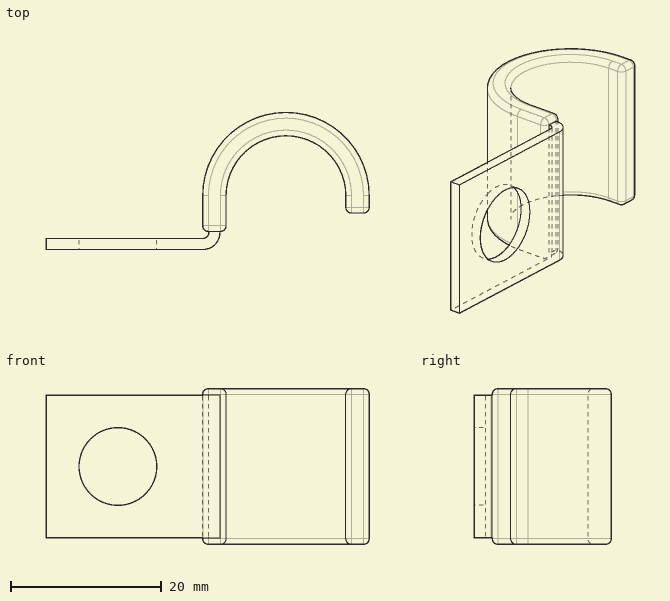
import cadquery as cq

overall_length = 42.8
overall_depth = 18.2
cushion_height = 20.65
cushion_radius = 11.05
cushion_thickness = 3.12
cushion_fillet = 0.75
long_leg = 4.75
short_leg = 2.3
strap_thickness = 1.5
strap_height = 18.9
bend_inner_radius = 0.75
hole_diameter = 10.27
hole_end_distance = 9.5

inner_radius = cushion_radius - cushion_thickness
strap_end_x = cushion_radius - overall_length
strap_front_y = cushion_radius - overall_depth
strap_back_y = strap_front_y + strap_thickness
bend_outer_radius = bend_inner_radius + strap_thickness
strap_outer_x = -cushion_radius + (cushion_thickness - strap_thickness) / 2
strap_inner_x = strap_outer_x + strap_thickness
bend_center_x = strap_outer_x - bend_inner_radius
bend_center_y = strap_back_y + bend_inner_radius
strap_embed_y = -long_leg + cushion_thickness / 2


def make_cushion():
    """Half-round cushion with two straight legs and rounded borders."""
    body = (
        cq.Workplane("XY")
        .workplane(offset=-cushion_height / 2)
        .moveTo(-cushion_radius, -long_leg)
        .lineTo(-cushion_radius, 0)
        .threePointArc((0, cushion_radius), (cushion_radius, 0))
        .lineTo(cushion_radius, -short_leg)
        .lineTo(inner_radius, -short_leg)
        .lineTo(inner_radius, 0)
        .threePointArc((0, inner_radius), (-inner_radius, 0))
        .lineTo(-inner_radius, -long_leg)
        .close()
        .extrude(cushion_height)
    )
    upright_edges = body.edges("|Z").vals()
    tip_edges = [edge for edge in upright_edges if edge.Center().y < -short_leg / 2]
    rim_edges = body.faces("<Z or >Z").edges().vals()
    return body.newObject(tip_edges + rim_edges).fillet(cushion_fillet)


def make_strap():
    """Flat mounting tab bent up into the long leg of the cushion."""
    return (
        cq.Workplane("XY")
        .workplane(offset=-strap_height / 2)
        .moveTo(strap_end_x, strap_front_y)
        .lineTo(bend_center_x, strap_front_y)
        .radiusArc((strap_inner_x, bend_center_y), -bend_outer_radius)
        .lineTo(strap_inner_x, strap_embed_y)
        .lineTo(strap_outer_x, strap_embed_y)
        .lineTo(strap_outer_x, bend_center_y)
        .radiusArc((bend_center_x, strap_back_y), bend_inner_radius)
        .lineTo(strap_end_x, strap_back_y)
        .close()
        .extrude(strap_height)
    )


def make_hole():
    """Round cutter for the screw hole through the tab."""
    return (
        cq.Workplane("XZ", origin=(strap_end_x + hole_end_distance, strap_back_y, 0))
        .circle(hole_diameter / 2)
        .extrude(strap_thickness)
    )


result = make_cushion().union(make_strap()).cut(make_hole())